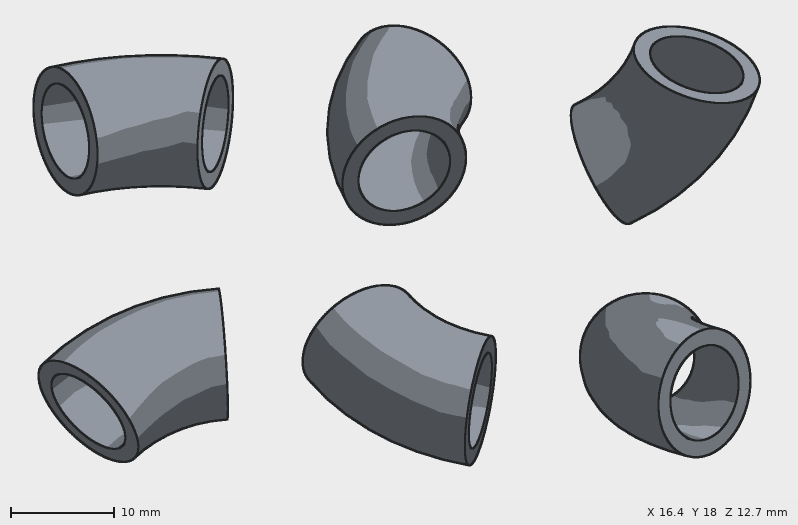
import cadquery as cq
import math

overall_length = 17.96
inner_diameter = 9.4
bend_angle = 45
bend_ratio = 1.5

outside_bend_radius = overall_length / math.sin(math.radians(bend_angle))
outer_diameter = outside_bend_radius / (bend_ratio + 0.5)
bend_radius = bend_ratio * outer_diameter

end_ring = cq.Workplane("XZ").circle(outer_diameter / 2).circle(inner_diameter / 2)

axis_start = (bend_radius, 0.18)
axis_end = (bend_radius, 0)
result = end_ring.revolve(bend_angle, axis_start, axis_end)